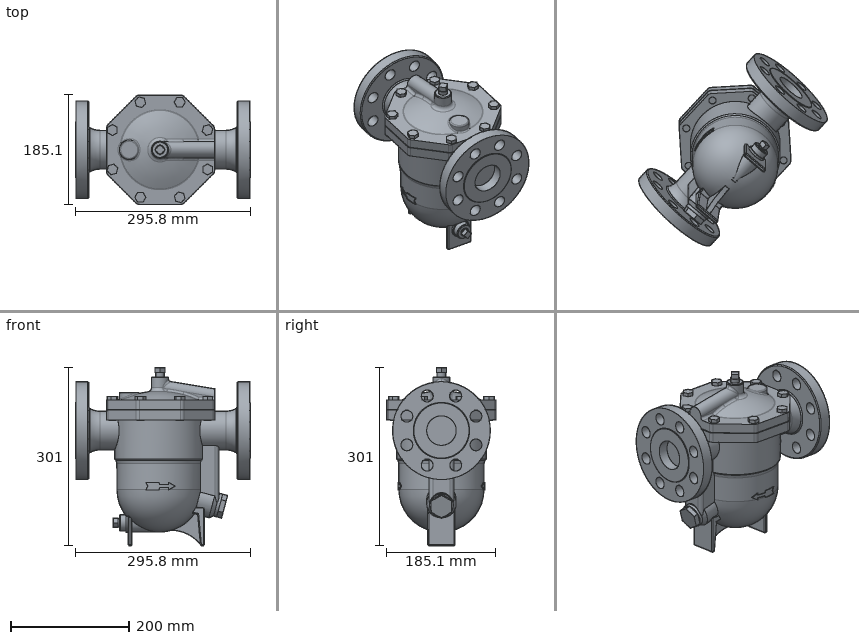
import cadquery as cq
import math


BODY_UPPER_R = 76.0
BODY_LOWER_R = 72.2
STEP_TOP_Z = -48.2
STEP_BOTTOM_Z = -56.0
LIP_R = 73.5
SPHERE_Z = -99.3
BASE_Z = -194.7

LEFT_FACE_X = -142.0
RIGHT_FACE_X = 153.8
PIPE_R = 66.0 / 2
BORE_R = 50.0 / 2
BORE_DEPTH = 18.0
FLANGE_R = 165.5 / 2
FLANGE_THICK = 21.7
FLANGE_CHAMFER = 1.8
RAISED_R = 95.0 / 2
RAISED_HEIGHT = 1.0
HUB_R = 37.3
HUB_LENGTH = 18.7
HUB_FILLET = 2.0
FLANGE_HOLE_D = 20.0
FLANGE_HOLE_CIRCLE_R = 63.2
HOLE_COUNT = 8
HALF_PITCH = 180 / HOLE_COUNT

COVER_X = 1.0
OCTAGON_INRADIUS = 92.55
OCTAGON_LEFT = 90.3
OCTAGON_FILLET = 9.0
COVER_TOP_Z = 51.8
JOINT_Z = 35.8
JOINT_HEIGHT = 1.0
JOINT_INSET = 0.3
COVER_BOTTOM_Z = 18.0
BOLT_CIRCLE_R = 87.0
BOLT_HEAD_D = 18.7
BOLT_HEAD_HEIGHT = 6.0
BOLT_SHANK_D = 12.0
BOLT_PROTRUSION = 1.0

DOME_RIM_R = 67.0
DOME_FILLET = 2.0
DOME_APEX_Z = 67.0
STEM_R = 14.5
STEM_TOP_Z = 91.0
STEM_CHAMFER = 1.5
STEM_FILLET = 7.2
NECK_R = 7.5
NECK_TOP_Z = 97.8
SQUARE_DIAGONAL = 17.5
SQUARE_TOP_Z = 106.3
KNOB_OFFSET = 52.0
KNOB_R = 16.5
KNOB_TOP_Z = 64.7
KNOB_TOP_FILLET = 2.0
KNOB_BASE_FILLET = 2.5

ARM_R = 13.5
ARM_END_TOP_Z = 70.7
ARM_SLOPE = 9.4
ARM_FILLET = 4.8

CHANNEL_X = 100.8
CHANNEL_HALF_WIDTH = 21.0
CHANNEL_TOP_Z = -24.7
CHANNEL_BOTTOM_Z = -120.5
CHANNEL_FILLET = 7.0
HOLDER_TILT = 15
HOLDER_R = 50.0 / 2
HOLDER_END = 93.0
HOLDER_TAPER_END = 100.0
COLLAR_R = 40.0 / 2
COLLAR_END = 105.5
HOLDER_HEX_D = 40.0
HOLDER_HEX_END = 114.0

DRAIN_Z = -156.0
DRAIN_BOSS_R = 28.0 / 2
DRAIN_BOSS_FACE_X = -67.7
DRAIN_BOSS_CHAMFER = 1.5
DRAIN_PIPE_R = 16.0
DRAIN_PIPE_START_X = -56.5
DRAIN_END_X = 4.5
DRAIN_NECK_R = 7.2
DRAIN_SQUARE_DIAGONAL = 15.7
DRAIN_NECK_X = -69.8
DRAIN_SQUARE_X = -78.3

FOOT_HALF_WIDTH = 23.2
FOOT_EDGE_FILLET = 1.8
LEFT_FOOT_X = (-53.0, -46.0)
LEFT_FOOT_TOP_Z = -137.0
RIGHT_FOOT_OUTER_X = 76.0
RIGHT_FOOT_TIP_X = 69.2
RIGHT_FOOT_ROOT_X = 64.5
RIGHT_FOOT_ROOT_DROP = 12.0
RIGHT_FOOT_TOP_Z = -129.5
WEB_THICK = 9.0
WEB_ARC_R = 63.8
WEB_ARC_X = 19.3
WEB_ARC_TOP_Z = -168.5

ARROW_HEIGHT = 1.2
ARROW_MID_Z = -94.0
ARROW_TAIL_X = -23.2
ARROW_NOTCH_X = -19.5
ARROW_FEATHER_X = -1.2
ARROW_SHAFT_X = 0.5
ARROW_HEAD_X = 15.7
ARROW_TIP_X = 26.5
ARROW_HALF_HEIGHT = 6.3
ARROW_SHAFT_HALF = 2.7

PICK_MARGIN = 0.3
PICK_TOLERANCE = 0.03


def cylinder_x(radius, x_start, x_end, z=0):
    return (
        cq.Workplane("YZ", origin=(x_start, 0, z))
        .circle(radius)
        .extrude(x_end - x_start)
    )


def cylinder_z(radius, z_start, z_end, x=COVER_X):
    return (
        cq.Workplane("XY", origin=(x, 0, z_start))
        .circle(radius)
        .extrude(z_end - z_start)
    )


def make_body():
    """Stepped round vessel with a hemispherical bottom."""
    chamfer = BODY_UPPER_R - LIP_R
    return (
        cq.Workplane("XZ")
        .moveTo(0, JOINT_Z)
        .lineTo(BODY_UPPER_R, JOINT_Z)
        .lineTo(BODY_UPPER_R, STEP_TOP_Z)
        .lineTo(LIP_R, STEP_TOP_Z - chamfer)
        .lineTo(BODY_LOWER_R, STEP_BOTTOM_Z)
        .lineTo(BODY_LOWER_R, SPHERE_Z)
        .radiusArc((0, SPHERE_Z - BODY_LOWER_R), BODY_LOWER_R)
        .close()
        .revolve(360, (0, 0, 0), (0, 1, 0))
    )


def make_pipe_end(face_x):
    """Half pipe with a flared hub, bolted flange and raised face, ending at face_x."""
    length = abs(face_x)
    front = length - RAISED_HEIGHT
    back = front - FLANGE_THICK
    hub_start = back - HUB_LENGTH
    flare_end = back - HUB_FILLET
    rise = HUB_R - PIPE_R
    run = flare_end - hub_start
    flare_r = (run ** 2 + rise ** 2) / (2 * rise)
    end = (
        cq.Workplane("XY")
        .lineTo(0, PIPE_R)
        .lineTo(hub_start, PIPE_R)
        .radiusArc((flare_end, HUB_R), -flare_r)
        .lineTo(back, HUB_R + HUB_FILLET)
        .lineTo(back, FLANGE_R - FLANGE_CHAMFER)
        .lineTo(back + FLANGE_CHAMFER, FLANGE_R)
        .lineTo(front, FLANGE_R)
        .lineTo(front, RAISED_R)
        .lineTo(length, RAISED_R - RAISED_HEIGHT)
        .lineTo(length, 0)
        .close()
        .revolve(360, (0, 0, 0), (1, 0, 0))
    )
    holes = (
        cq.Workplane("YZ", origin=(back, 0, 0))
        .polarArray(FLANGE_HOLE_CIRCLE_R, HALF_PITCH, 360, HOLE_COUNT)
        .circle(FLANGE_HOLE_D / 2)
        .extrude(FLANGE_THICK)
    )
    end = end.cut(holes).cut(cylinder_x(BORE_R, length - BORE_DEPTH, length))
    if face_x < 0:
        end = end.mirror("YZ")
    return end


def octagon_plate(z_start, z_end, inset=0):
    """Regular octagon whose left side is trimmed."""
    inradius = OCTAGON_INRADIUS - inset
    left = OCTAGON_LEFT - inset
    corner_d = 2 * inradius / math.cos(math.radians(HALF_PITCH))
    plate = (
        cq.Workplane("XY", origin=(COVER_X, 0, z_start))
        .transformed(rotate=(0, 0, HALF_PITCH))
        .polygon(8, corner_d)
        .extrude(z_end - z_start)
    )
    keep = (
        cq.Workplane("XY", origin=(COVER_X - left, 0, z_start))
        .rect(2 * corner_d, 2 * corner_d)
        .extrude(z_end - z_start)
        .translate((corner_d, 0, 0))
    )
    return plate.intersect(keep).edges("|Z").fillet(OCTAGON_FILLET)


def make_octagon():
    """Body flange, thin gasket and cover flange."""
    lower = octagon_plate(COVER_BOTTOM_Z, JOINT_Z - JOINT_HEIGHT)
    gasket = octagon_plate(JOINT_Z - JOINT_HEIGHT, JOINT_Z, JOINT_INSET)
    upper = octagon_plate(JOINT_Z, COVER_TOP_Z)
    return lower.union(gasket).union(upper)


def make_bolts():
    """Hexagon bolts whose shanks just show below the body flange."""
    spread = math.radians(90 - HALF_PITCH)
    offset = (BOLT_CIRCLE_R * math.cos(spread), BOLT_CIRCLE_R * math.sin(spread), 0)
    head = (
        cq.Workplane("XY", origin=(0, 0, COVER_TOP_Z))
        .polygon(6, BOLT_HEAD_D)
        .extrude(BOLT_HEAD_HEIGHT)
    )
    shank = cylinder_z(BOLT_SHANK_D / 2, COVER_BOTTOM_Z - BOLT_PROTRUSION, COVER_TOP_Z, 0)
    first_bolt = head.union(shank).translate(offset)
    bolts = cq.Workplane("XY")
    for index in range(HOLE_COUNT):
        bolt = first_bolt.rotate((0, 0, 0), (0, 0, 1), index * 360 / HOLE_COUNT)
        bolts = bolts.union(bolt.translate((COVER_X, 0, 0)))
    return bolts


def make_dome():
    """Shallow dome blended into the central stem."""
    rise = DOME_APEX_Z - COVER_TOP_Z
    dome_r = (DOME_RIM_R ** 2 + rise ** 2) / (2 * rise)
    stem_foot_z = DOME_APEX_Z - dome_r + math.sqrt(dome_r ** 2 - STEM_R ** 2)
    dome = (
        cq.Workplane("XZ", origin=(COVER_X, 0, 0))
        .moveTo(0, JOINT_Z)
        .lineTo(DOME_RIM_R, JOINT_Z)
        .lineTo(DOME_RIM_R, COVER_TOP_Z)
        .radiusArc((STEM_R, stem_foot_z), -dome_r)
        .lineTo(STEM_R, STEM_TOP_Z)
        .lineTo(0, STEM_TOP_Z)
        .close()
        .revolve(360, (0, 0, 0), (0, 1, 0))
    )
    dome = dome.faces(">Z").edges().chamfer(STEM_CHAMFER)
    foot = cq.selectors.BoxSelector(
        (-STEM_R, -STEM_R, stem_foot_z - 3), (STEM_R + 3, STEM_R, stem_foot_z + 3)
    )
    return dome.edges(foot).edges("%CIRCLE").fillet(STEM_FILLET)


def make_spindle():
    neck = cylinder_z(NECK_R, STEM_TOP_Z, NECK_TOP_Z)
    square = (
        cq.Workplane("XY", origin=(COVER_X, 0, NECK_TOP_Z))
        .polygon(4, SQUARE_DIAGONAL)
        .extrude(SQUARE_TOP_Z - NECK_TOP_Z)
    )
    return neck.union(square)


def make_arm():
    """Half-round topped arm with straight side walls down into the cover."""
    end_x = COVER_X + OCTAGON_INRADIUS
    length = end_x - COVER_X
    angle = math.radians(ARM_SLOPE)
    end_axis_z = ARM_END_TOP_Z - ARM_R / math.cos(angle)
    start_axis_z = end_axis_z + length * math.tan(angle)
    along = cq.Plane(
        origin=(COVER_X, 0, start_axis_z),
        xDir=(0, 1, 0),
        normal=(math.cos(angle), 0, -math.sin(angle)),
    )
    round_top = cq.Workplane(along).circle(ARM_R).extrude(length + 2 * ARM_R)
    walls = (
        cq.Workplane("XZ", origin=(0, ARM_R, 0))
        .moveTo(COVER_X, JOINT_Z)
        .lineTo(end_x, JOINT_Z)
        .lineTo(end_x, end_axis_z)
        .lineTo(COVER_X, start_axis_z)
        .close()
        .extrude(2 * ARM_R)
    )
    envelope = (
        cq.Workplane("XY", origin=(0, 0, JOINT_Z))
        .rect(2 * end_x, 2 * OCTAGON_INRADIUS)
        .extrude(STEM_TOP_Z - JOINT_Z)
    )
    return round_top.union(walls).intersect(envelope)


def make_knob():
    """Short round boss on the left of the dome."""
    return (
        cylinder_z(KNOB_R, JOINT_Z, KNOB_TOP_Z, COVER_X - KNOB_OFFSET)
        .faces(">Z")
        .edges()
        .fillet(KNOB_TOP_FILLET)
    )


def make_cover():
    """Domed octagonal cover with its stem, arm and knob, blended at every foot."""
    end_x = COVER_X + OCTAGON_INRADIUS
    cover = make_octagon().union(make_dome()).union(make_arm())
    arm_foot = cq.selectors.BoxSelector(
        (COVER_X + STEM_R, -ARM_R - PICK_MARGIN, COVER_TOP_Z - PICK_MARGIN),
        (end_x - PICK_MARGIN, ARM_R + PICK_MARGIN, DOME_APEX_Z),
    )
    foot_edges = [
        edge
        for edge in cover.edges(arm_foot).vals()
        if edge.BoundingBox().ylen < PICK_TOLERANCE
        and abs(abs(edge.Center().y) - ARM_R) < PICK_TOLERANCE
    ]
    cover = cover.newObject(foot_edges).fillet(ARM_FILLET)
    rim_edges = [
        edge
        for edge in cover.edges("%CIRCLE").vals()
        if abs(edge.radius() - DOME_RIM_R) < PICK_TOLERANCE and edge.Center().z > JOINT_Z
    ]
    cover = cover.newObject(rim_edges).fillet(DOME_FILLET)
    knob_x = COVER_X - KNOB_OFFSET
    cover = cover.union(make_knob())
    reach = KNOB_R + PICK_MARGIN
    knob_foot = cq.selectors.BoxSelector(
        (knob_x - reach, -reach, COVER_TOP_Z - PICK_MARGIN),
        (knob_x + reach, reach, KNOB_TOP_Z - KNOB_TOP_FILLET / 2),
        boundingbox=True,
    )
    return cover.edges(knob_foot).fillet(KNOB_BASE_FILLET)


def make_channel():
    """Vertical channel standing off the right of the body."""
    return (
        cq.Workplane("XY", origin=(CHANNEL_X / 2, 0, CHANNEL_BOTTOM_Z))
        .rect(CHANNEL_X, 2 * CHANNEL_HALF_WIDTH)
        .extrude(CHANNEL_TOP_Z - CHANNEL_BOTTOM_Z)
        .edges("|Z and >X")
        .fillet(CHANNEL_FILLET)
    )


def make_holder():
    """Inclined screen holder with its hexagon plug, aimed at the sphere centre."""
    holder = (
        cq.Workplane("XY")
        .lineTo(0, HOLDER_R)
        .lineTo(HOLDER_END, HOLDER_R)
        .lineTo(HOLDER_TAPER_END, COLLAR_R)
        .lineTo(COLLAR_END, COLLAR_R)
        .lineTo(COLLAR_END, 0)
        .close()
        .revolve(360, (0, 0, 0), (1, 0, 0))
    )
    plug = (
        cq.Workplane("YZ", origin=(COLLAR_END, 0, 0))
        .transformed(rotate=(0, 0, 90))
        .polygon(6, HOLDER_HEX_D)
        .extrude(HOLDER_HEX_END - COLLAR_END)
    )
    return (
        holder.union(plug)
        .rotate((0, 0, 0), (0, 1, 0), HOLDER_TILT)
        .translate((0, 0, SPHERE_Z))
    )


def make_drain():
    """Horizontal drain boss with a square-ended plug."""
    boss = (
        cylinder_x(DRAIN_BOSS_R, DRAIN_BOSS_FACE_X, DRAIN_END_X, DRAIN_Z)
        .faces("<X")
        .edges()
        .chamfer(DRAIN_BOSS_CHAMFER)
    )
    pipe = cylinder_x(DRAIN_PIPE_R, DRAIN_PIPE_START_X, DRAIN_END_X, DRAIN_Z)
    neck = cylinder_x(DRAIN_NECK_R, DRAIN_NECK_X, DRAIN_BOSS_FACE_X, DRAIN_Z)
    square = (
        cq.Workplane("YZ", origin=(DRAIN_SQUARE_X, 0, DRAIN_Z))
        .polygon(4, DRAIN_SQUARE_DIAGONAL)
        .extrude(DRAIN_NECK_X - DRAIN_SQUARE_X)
    )
    return boss.union(pipe).union(neck).union(square)


def make_left_foot():
    x_out, x_in = LEFT_FOOT_X
    return (
        cq.Workplane("XY", origin=((x_out + x_in) / 2, 0, BASE_Z))
        .rect(x_in - x_out, 2 * FOOT_HALF_WIDTH)
        .extrude(LEFT_FOOT_TOP_Z - BASE_Z)
        .edges("|Z or <Z")
        .chamfer(FOOT_EDGE_FILLET)
    )


def make_right_foot():
    """Tapered foot plate braced by a thin web with an arched underside."""
    plate = (
        cq.Workplane("XZ", origin=(0, FOOT_HALF_WIDTH, 0))
        .moveTo(RIGHT_FOOT_TIP_X, BASE_Z)
        .lineTo(RIGHT_FOOT_OUTER_X, BASE_Z)
        .lineTo(RIGHT_FOOT_OUTER_X, RIGHT_FOOT_TOP_Z)
        .lineTo(0, RIGHT_FOOT_TOP_Z)
        .lineTo(RIGHT_FOOT_ROOT_X, RIGHT_FOOT_TOP_Z - RIGHT_FOOT_ROOT_DROP)
        .close()
        .extrude(2 * FOOT_HALF_WIDTH)
        .edges("|Y and <Z or (#Y and (>Y or <Y))")
        .chamfer(FOOT_EDGE_FILLET)
    )
    web = (
        cq.Workplane("XZ", origin=(0, WEB_THICK / 2, 0))
        .moveTo(0, SPHERE_Z)
        .lineTo(RIGHT_FOOT_TIP_X, SPHERE_Z)
        .lineTo(RIGHT_FOOT_TIP_X, BASE_Z)
        .lineTo(0, BASE_Z)
        .close()
        .extrude(WEB_THICK)
    )
    arch = (
        cq.Workplane("XZ", origin=(WEB_ARC_X, WEB_THICK, WEB_ARC_TOP_Z - WEB_ARC_R))
        .circle(WEB_ARC_R)
        .extrude(2 * WEB_THICK)
    )
    return plate.union(web.cut(arch))


def make_arrows():
    """Raised flow arrows on both sides of the lower body."""
    outline = [
        (ARROW_TAIL_X, ARROW_HALF_HEIGHT),
        (ARROW_FEATHER_X, ARROW_HALF_HEIGHT),
        (ARROW_SHAFT_X, ARROW_SHAFT_HALF),
        (ARROW_HEAD_X, ARROW_SHAFT_HALF),
        (ARROW_HEAD_X, ARROW_HALF_HEIGHT),
        (ARROW_TIP_X, 0),
        (ARROW_HEAD_X, -ARROW_HALF_HEIGHT),
        (ARROW_HEAD_X, -ARROW_SHAFT_HALF),
        (ARROW_SHAFT_X, -ARROW_SHAFT_HALF),
        (ARROW_FEATHER_X, -ARROW_HALF_HEIGHT),
        (ARROW_TAIL_X, -ARROW_HALF_HEIGHT),
        (ARROW_NOTCH_X, 0),
    ]
    raised_r = BODY_LOWER_R + ARROW_HEIGHT
    arrows = (
        cq.Workplane("XZ", origin=(0, 0, ARROW_MID_Z))
        .polyline(outline)
        .close()
        .extrude(raised_r, both=True)
    )
    bottom = ARROW_MID_Z - ARROW_HALF_HEIGHT
    top = ARROW_MID_Z + ARROW_HALF_HEIGHT
    return arrows.intersect(cylinder_z(raised_r, bottom, top, 0))


result = (
    make_body()
    .union(make_pipe_end(LEFT_FACE_X))
    .union(make_pipe_end(RIGHT_FACE_X))
    .union(make_cover())
    .union(make_spindle())
    .union(make_bolts())
    .union(make_channel())
    .union(make_holder())
    .union(make_drain())
    .union(make_left_foot())
    .union(make_right_foot())
    .union(make_arrows())
)